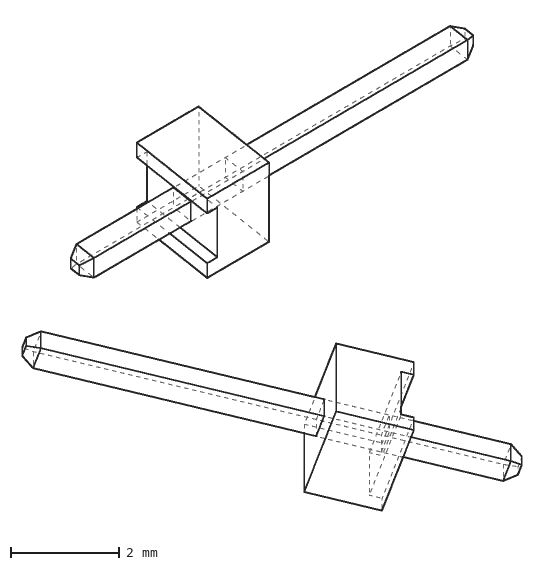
import cadquery as cq

pin_length = 9.58
pin_width = 0.5
tip_width = 0.25
tip_length = 0.25

housing_width = 2.0
housing_depth = 1.5
front_pin_length = 2.36
lip_height = 0.37
groove_depth = 0.25

pin_front = -pin_length / 2
pin_back = pin_length / 2
housing_front = pin_front + front_pin_length
housing_back = housing_front + housing_depth
groove_height = housing_width - 2 * lip_height


def bar_along_y(width, height, y_start, y_end):
    """Rectangular bar centred on the Y axis between two Y positions."""
    length = y_end - y_start
    return cq.Workplane("XY").box(width, length, height).translate((0, (y_start + y_end) / 2, 0))


def tapered_tip(base_y, end_y):
    """Square frustum from the full pin width at base_y to the tip width at end_y."""
    return (
        cq.Workplane("XZ", origin=(0, base_y, 0))
        .rect(pin_width, pin_width)
        .workplane(offset=base_y - end_y)
        .rect(tip_width, tip_width)
        .loft(ruled=True)
    )


def make_pin():
    """Square bar with a tapered tip at both ends."""
    bar_front = pin_front + tip_length
    bar_back = pin_back - tip_length
    bar = bar_along_y(pin_width, pin_width, bar_front, bar_back)
    return bar.union(tapered_tip(bar_front, pin_front)).union(tapered_tip(bar_back, pin_back))


def make_housing():
    """Block with a full-width front groove and a square through hole for the pin."""
    block = bar_along_y(housing_width, housing_width, housing_front, housing_back)
    groove = bar_along_y(housing_width, groove_height, housing_front, housing_front + groove_depth)
    pin_hole = bar_along_y(pin_width, pin_width, housing_front, housing_back)
    return block.cut(groove).cut(pin_hole)


housing = make_housing()
pin = make_pin()

result = cq.Compound.makeCompound([housing.val(), pin.val()])